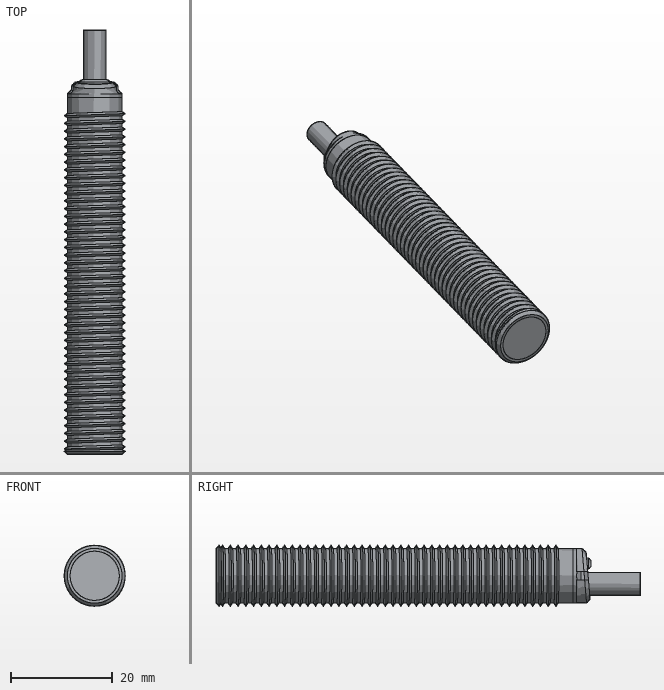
import cadquery as cq
import math

total_length = 83.2

root_diameter = 10.7
crest_diameter = 12.0
root_radius = root_diameter / 2
crest_radius = crest_diameter / 2
housing_length = 70.0
lip_position = 0.6
lip_back = 0.9
ridge_count = 44
first_ridge = 1.25
last_ridge = 66.65
ridge_base = 0.8
ridge_embed = 0.4
ridge_tilt = 2.0

cap_radius = 4.8
cap_depth = 1.0

flange_end = 70.7
plug_middle = 73.0
end_slope = 4.8
end_chamfer = 0.75
neck_half_width = 4.3
flare_length = 0.8
rib_distance = 4.6
rib_width = 1.75

cable_radius = 2.25
cable_drop = 1.6
cable_seat = 71.6

lens_radius = 3.5
lens_chord = 1.3
lens_end = 73.55
lens_chamfer = 0.5
lens_seat = 72.0


def turned(points):
    """Solid turned about the Y axis from (radius, Y) points."""
    return cq.Workplane("XY").polyline(points).close().revolve(360, (0, 0, 0), (0, 1, 0))


def along_y(y):
    """Workplane facing +Y at the given Y; its local x is -X and its local y is Z."""
    return cq.Workplane("XZ", origin=(0, y, 0)).transformed(rotate=(0, 180, 0))


def make_cap():
    return along_y(0).circle(cap_radius).extrude(cap_depth)


def make_cable():
    return along_y(cable_seat).center(0, -cable_drop).circle(cable_radius).extrude(total_length - cable_seat)


def make_lens():
    half_chord = math.sqrt(lens_radius**2 - lens_chord**2)
    return (
        along_y(lens_seat)
        .moveTo(-half_chord, lens_chord)
        .threePointArc((0, lens_radius), (half_chord, lens_chord))
        .close()
        .extrude(lens_end - lens_seat)
        .faces(">Y")
        .chamfer(lens_chamfer)
    )


def make_ridge(y):
    """One V-shaped thread ridge, leaning about the vertical line through its centre."""
    foot = root_radius - ridge_embed
    half_base = ridge_base / 2
    ridge = turned([
        (foot, -half_base),
        (root_radius, -half_base),
        (crest_radius, 0),
        (root_radius, half_base),
        (foot, half_base),
    ])
    return ridge.rotate((0, 0, 0), (0, 0, 1), ridge_tilt).translate((0, y, 0))


def make_housing(cap):
    core = turned([
        (0, 0),
        (root_radius, 0),
        (crest_radius, lip_position),
        (root_radius, lip_back),
        (root_radius, housing_length),
        (0, housing_length),
    ])
    pitch = (last_ridge - first_ridge) / (ridge_count - 1)
    ridges = [make_ridge(first_ridge + i * pitch).val() for i in range(ridge_count)]
    return cq.Workplane(core.val().fuse(*ridges)).cut(cap)


def trim_end(body):
    """Cut a +Y end off along the sloping end plane."""
    end_cutter = (
        along_y(0)
        .rect(2 * total_length, 2 * total_length)
        .extrude(total_length)
        .rotate((0, 0, 0), (1, 0, 0), end_slope)
        .translate((0, plug_middle, 0))
    )
    return body.cut(end_cutter)


def oval(y, half_width):
    """Oval outline at the given Y, as tall along Z as the flange."""
    centre = cq.Vector(0, y, 0)
    return cq.Wire.makeEllipse(root_radius, half_width, centre, cq.Vector(0, 1, 0), cq.Vector(0, 0, 1))


def make_neck():
    """Oval neck that flares smoothly into the round flange."""
    step = root_radius - neck_half_width
    flare_turns = (0, 30, 60, 90)
    sections = [
        oval(
            flange_end + flare_length * (1 - math.cos(math.radians(turn))),
            root_radius - step * math.sin(math.radians(turn)),
        )
        for turn in flare_turns
    ]
    sections += [oval(flange_end + i * flare_length, neck_half_width) for i in (2, 3, 4)]
    neck = trim_end(cq.Workplane(cq.Solid.makeLoft(sections)))
    return neck.faces(">Y").chamfer(end_chamfer)


def make_ribs():
    """Bar across the plug whose two ends stand out of the neck as ribs with sloping feet."""
    foot_top = flange_end + flare_length
    bar = (
        cq.Workplane("XY")
        .moveTo(-root_radius, flange_end)
        .lineTo(-rib_distance, foot_top)
        .lineTo(-rib_distance, total_length)
        .lineTo(rib_distance, total_length)
        .lineTo(rib_distance, foot_top)
        .lineTo(root_radius, flange_end)
        .close()
        .extrude(rib_width / 2, both=True)
    )
    round_limit = along_y(flange_end).circle(root_radius).extrude(total_length - flange_end)
    bar = trim_end(bar.intersect(round_limit))
    return bar.faces(">Y").edges("<X or >X").chamfer(end_chamfer)


def make_plug(cable, lens):
    flange = along_y(housing_length).circle(root_radius).extrude(flange_end - housing_length)
    body = flange.union(make_neck()).union(make_ribs())
    return body.cut(cable).cut(lens)


cap = make_cap()
housing = make_housing(cap)
cable = make_cable()
lens = make_lens()
plug = make_plug(cable, lens)

result = cq.Compound.makeCompound([
    housing.val(),
    cap.val(),
    plug.val(),
    cable.val(),
    lens.val(),
])